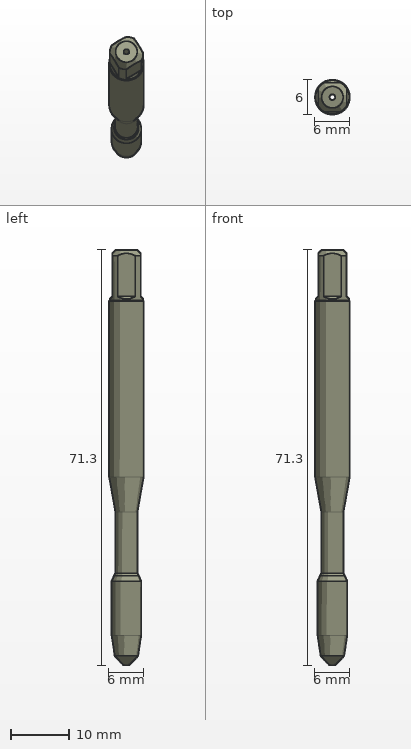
import cadquery as cq

total_length = 71.35
coolant_bore_diameter = 0.9

tip_diameter = coolant_bore_diameter
lead_start_diameter = 4.1
head_diameter = 5.15
head_end_diameter = 4.3
lead_start_z = 1.65
lead_end_z = 5.2
head_chamfer_z = 14.5
head_end_z = 15.4

neck_diameter = 3.85
shank_diameter = 6.0
neck_start_z = 15.85
neck_end_z = 26.4
taper_end_z = 32.4
shank_end_z = 62.7
shank_chamfer_height = 0.2

drive_diameter = 5.8
drive_top_diameter = 3.7
drive_flat_width = 4.9
drive_chamfer_height = 1.0
flat_start_z = 63.4


def revolve_profile(stations):
    """Solid of revolution about Z from (diameter, z) stations, bottom to top."""
    outline = [(diameter / 2, z) for diameter, z in stations]
    bottom_z = stations[0][1]
    top_z = stations[-1][1]
    profile = cq.Workplane("XZ").polyline([(0, bottom_z), *outline, (0, top_z)]).close()
    return profile.revolve(360, (0, 0), (0, 1))


def drill_coolant_bore(body):
    """Cut the central bore along the full length."""
    bore = cq.Workplane("XY").circle(coolant_bore_diameter / 2).extrude(total_length)
    return body.cut(bore)


def make_flat_cutter():
    """Block on the +X side of the drive, with a 45 degree run-out at its lower end."""
    flat_x = drive_flat_width / 2
    depth = (shank_diameter - drive_flat_width) / 2
    outline = [
        (flat_x, flat_start_z),
        (flat_x + depth, flat_start_z - depth),
        (flat_x + depth, total_length),
        (flat_x, total_length),
    ]
    profile = cq.Workplane("XZ").polyline(outline).close()
    return profile.extrude(shank_diameter / 2, both=True)


def make_cutting_head():
    """Pointed head with a tapered lead and a chamfered rear end."""
    head = revolve_profile([
        (tip_diameter, 0),
        (lead_start_diameter, lead_start_z),
        (head_diameter, lead_end_z),
        (head_diameter, head_chamfer_z),
        (head_end_diameter, head_end_z),
    ])
    return drill_coolant_bore(head)


def make_shank():
    """Neck, taper, cylindrical shank and square drive end."""
    shank = revolve_profile([
        (head_end_diameter, head_end_z),
        (neck_diameter, neck_start_z),
        (neck_diameter, neck_end_z),
        (shank_diameter, taper_end_z),
        (shank_diameter, shank_end_z - shank_chamfer_height),
        (drive_diameter, shank_end_z),
        (drive_diameter, total_length - drive_chamfer_height),
        (drive_top_diameter, total_length),
    ])
    flat_cutter = make_flat_cutter()
    for angle in (0, 90, 180, 270):
        shank = shank.cut(flat_cutter.rotate((0, 0, 0), (0, 0, 1), angle))
    return drill_coolant_bore(shank)


cutting_head = make_cutting_head()
shank = make_shank()

result = cq.Compound.makeCompound([cutting_head.val(), shank.val()])